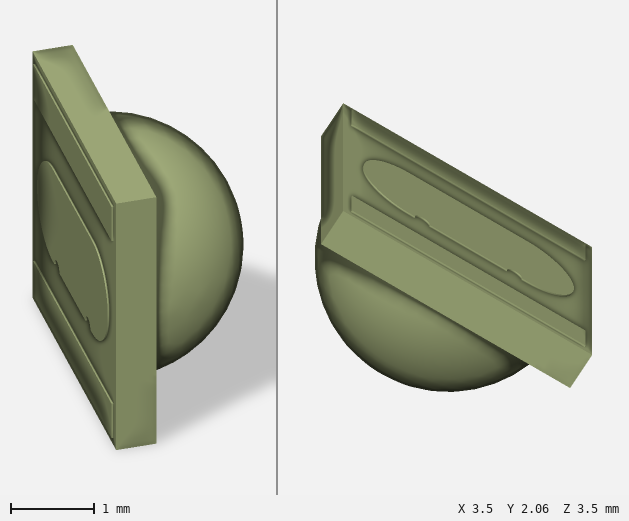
import cadquery as cq

side = 3.5
substrate_thickness = 0.405
layer_thickness = 0.095
total_height = 2.06
pad_thickness = 0.025
dome_base_radius = 1.595

electrode_margin = 0.11
electrode_height = 0.485
thermal_length = 2.958
thermal_height = 1.305
notch_radius = 0.105
notch_offset = 0.648

layer_top = substrate_thickness + layer_thickness
dome_height = total_height - pad_thickness - layer_top
dome_radius = (dome_base_radius**2 + dome_height**2) / (2 * dome_height)
dome_center = layer_top + dome_height - dome_radius
electrode_length = side - 2 * electrode_margin
electrode_offset = side / 2 - electrode_margin - electrode_height / 2


def square_plate(start_y, thickness):
    """Square plate that spans start_y to start_y + thickness."""
    return (
        cq.Workplane("XZ", origin=(0, start_y, 0))
        .rect(side, side)
        .extrude(-thickness)
    )


def electrode_pads():
    """Rectangular pads along the upper and lower edges of the back face."""
    return (
        cq.Workplane("XZ")
        .pushPoints([(0, electrode_offset), (0, -electrode_offset)])
        .rect(electrode_length, electrode_height)
        .extrude(pad_thickness)
    )


def thermal_pad():
    """Rounded central pad with two half-round notches in its lower edge."""
    pad = cq.Workplane("XZ").slot2D(thermal_length, thermal_height).extrude(pad_thickness)
    notches = (
        cq.Workplane("XZ")
        .pushPoints([(x, -thermal_height / 2) for x in (-notch_offset, notch_offset)])
        .circle(notch_radius)
        .extrude(pad_thickness)
    )
    return pad.cut(notches)


def make_substrate():
    """Substrate plate carrying its raised contact pads."""
    return square_plate(0, substrate_thickness).union(electrode_pads()).union(thermal_pad())


def make_top_layer():
    """Thin layer between the substrate and the dome."""
    return square_plate(substrate_thickness, layer_thickness)


def make_dome():
    """Spherical cap revolved about the Y axis, standing on the top layer."""
    mid_offset = dome_radius / 2**0.5
    return (
        cq.Workplane("XY")
        .moveTo(0, layer_top)
        .lineTo(dome_base_radius, layer_top)
        .threePointArc((mid_offset, dome_center + mid_offset), (0, layer_top + dome_height))
        .close()
        .revolve(360, (0, 0, 0), (0, 1, 0))
    )


substrate = make_substrate()
top_layer = make_top_layer()
dome = make_dome()

result = cq.Compound.makeCompound([substrate.val(), top_layer.val(), dome.val()])